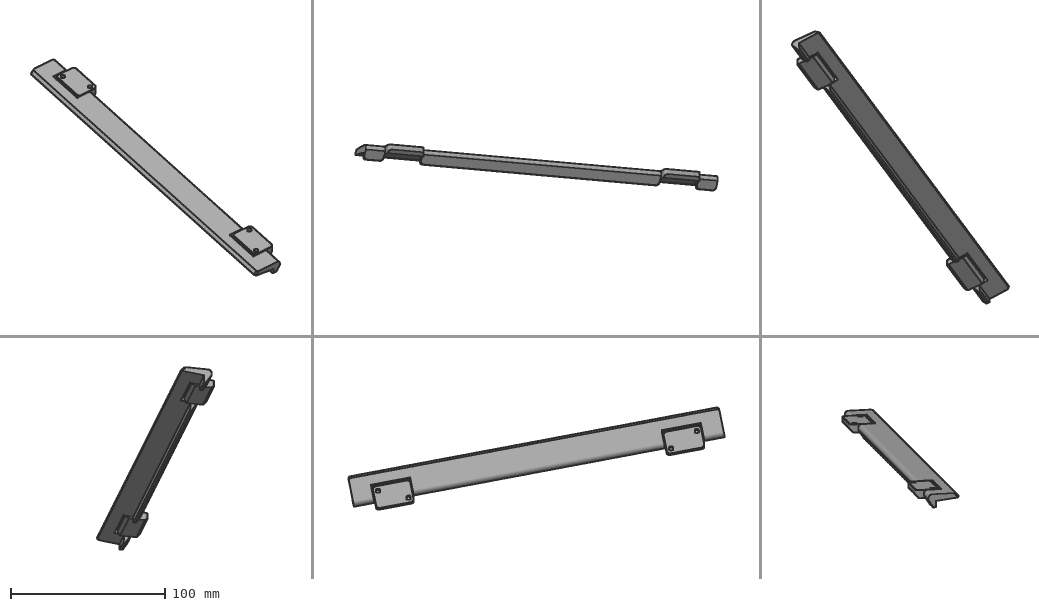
import cadquery as cq

RAIL_LENGTH = 245.0
OVERALL_DEPTH = 25.5
OVERALL_HEIGHT = 9.3

RAIL_BACK = 20.3
BACK_RADIUS = 2.7
BACK_TAPER_START = 3.7
TIP_DROP = 2.2
TOP_BEVEL = 2.0
UNDER_BEVEL_RUN = 0.37
UNDER_BEVEL_DROP = 0.85
LIP_FRONT = 15.2
LIP_ROOT_DROP = 4.7
LIP_BOTTOM_WIDTH = 1.5
LIP_CORNER_RADIUS = 2.0
TIP_END_CHAMFER = 1.0

SLOT_WIDTH = 26.0
SLOT_END_DISTANCE = 13.5
SLOT_FRONT = 8.8
slot_x = RAIL_LENGTH / 2 - SLOT_END_DISTANCE - SLOT_WIDTH / 2

SIDE_GAP = 0.5
FRONT_GAP = 1.5
BLOCK_HEIGHT = 5.6
BLOCK_CORNER_RADIUS = 2.2
BLOCK_BOTTOM_CHAMFER = 2.2
BLOCK_TOP_CHAMFER = 0.2
block_width = SLOT_WIDTH - 2 * SIDE_GAP
block_front = SLOT_FRONT + FRONT_GAP
block_depth = OVERALL_DEPTH - block_front
block_y = block_front + block_depth / 2

HOLE_DIAMETER = 3.0
HOLE_DEPTH = 3.0
HOLE_OFFSET_X = 9.3
HOLE_OFFSET_Y = 4.2


def rail_profile():
    """Closed cross-section in the YZ plane, with a rounded top back edge and a tapered lip."""
    return (
        cq.Workplane("YZ", origin=(-RAIL_LENGTH / 2, 0, 0))
        .moveTo(TOP_BEVEL, 0)
        .lineTo(RAIL_BACK - BACK_RADIUS, 0)
        .radiusArc((RAIL_BACK, -BACK_RADIUS), BACK_RADIUS)
        .lineTo(RAIL_BACK, -BACK_TAPER_START)
        .lineTo(LIP_FRONT + LIP_BOTTOM_WIDTH, -OVERALL_HEIGHT)
        .lineTo(LIP_FRONT, -OVERALL_HEIGHT)
        .lineTo(LIP_FRONT, -LIP_ROOT_DROP)
        .lineTo(UNDER_BEVEL_RUN, -TIP_DROP - UNDER_BEVEL_DROP)
        .lineTo(0, -TIP_DROP)
        .close()
    )


def make_rail():
    """Bar with a pointed front, a tapered lip under its back and two slots open to the back."""
    rail = rail_profile().extrude(RAIL_LENGTH)
    tip_ends = cq.selectors.BoxSelector(
        (-RAIL_LENGTH, 0, -OVERALL_HEIGHT), (RAIL_LENGTH, TOP_BEVEL, 0)
    )
    rail = rail.faces("<X or >X").edges(tip_ends).chamfer(TIP_END_CHAMFER)
    for side in (-1, 1):
        slot = (
            cq.Workplane("XY")
            .box(SLOT_WIDTH, OVERALL_DEPTH, OVERALL_HEIGHT, centered=(True, False, False))
            .translate((0, 0, -OVERALL_HEIGHT))
        )
        rail = rail.cut(slot.translate((side * slot_x, SLOT_FRONT, 0)))
    return rail.faces("<Z").edges("|Y").fillet(LIP_CORNER_RADIUS)


def make_block(side):
    """Rounded block for one slot; side is -1 for the left one and 1 for the right one."""
    block = (
        cq.Workplane("XY")
        .box(block_width, block_depth, BLOCK_HEIGHT, centered=(True, True, False))
        .translate((0, 0, -BLOCK_HEIGHT))
        .faces("<Z")
        .edges("|X")
        .chamfer(BLOCK_BOTTOM_CHAMFER)
        .edges("|Z")
        .fillet(BLOCK_CORNER_RADIUS)
        .faces(">Z")
        .chamfer(BLOCK_TOP_CHAMFER)
    )
    hole_places = [(-side * HOLE_OFFSET_X, HOLE_OFFSET_Y), (side * HOLE_OFFSET_X, -HOLE_OFFSET_Y)]
    holes = (
        cq.Workplane("XY")
        .pushPoints(hole_places)
        .circle(HOLE_DIAMETER / 2)
        .extrude(-HOLE_DEPTH)
    )
    return block.cut(holes).translate((side * slot_x, block_y, 0))


rail = make_rail()
blocks = [make_block(side) for side in (-1, 1)]

result = cq.Compound.makeCompound([rail.val(), *[block.val() for block in blocks]])